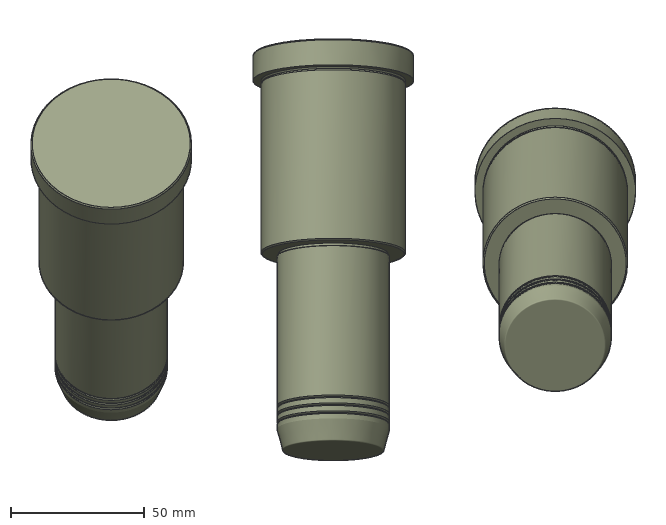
import cadquery as cq
import math

head_radius = 30.0
head_height = 10.0
head_chamfer = 0.5

body_radius = 27.0
body_length = 66.0
body_chamfer = 0.5

shank_radius = 21.0
shank_length = 75.0

neck_width = 1.0
neck_depth = 0.5

groove_depth = 0.5

undercut_width = 1.3

groove_count = 3
groove_width = 1.0
groove_pitch = 3.0
lowest_groove_bottom = 10.0

nose_height = 8.0
nose_angle = 15.0
tip_rounding = 0.5

body_bottom = shank_length
head_bottom = body_bottom + body_length
head_top = head_bottom + head_height


def cylinder(radius, bottom, top):
    return cq.Workplane("XY").workplane(offset=bottom).circle(radius).extrude(top - bottom)


def v_groove_cutter(shaft_radius, depth, bottom, width):
    """Ring with a triangular section that cuts a V-shaped groove into a shaft."""
    return (
        cq.Workplane("XZ")
        .moveTo(shaft_radius, bottom)
        .lineTo(shaft_radius - depth, bottom + width / 2)
        .lineTo(shaft_radius, bottom + width)
        .close()
        .revolve(360, (0, 0, 0), (0, 1, 0))
    )


def make_head():
    return cylinder(head_radius, head_bottom, head_top).faces(">Z").edges().chamfer(head_chamfer)


def make_body():
    body = cylinder(body_radius, body_bottom, head_bottom).faces("<Z").edges().chamfer(body_chamfer)
    return body.cut(v_groove_cutter(body_radius, groove_depth, head_bottom - undercut_width, undercut_width))


def make_nose():
    """Conical nose with a rounded edge at its tip."""
    tip_radius = shank_radius - nose_height * math.tan(math.radians(nose_angle))
    cone = cq.Solid.makeCone(tip_radius, shank_radius, nose_height)
    return cq.Workplane(cone).faces("<Z").edges().fillet(tip_rounding)


def make_shank():
    neck_bottom = body_bottom - neck_width
    shank = cylinder(shank_radius, nose_height, neck_bottom)
    shank = shank.union(cylinder(shank_radius - neck_depth, neck_bottom, body_bottom))
    for index in range(groove_count):
        groove_bottom = lowest_groove_bottom + index * groove_pitch
        shank = shank.cut(v_groove_cutter(shank_radius, groove_depth, groove_bottom, groove_width))
    return shank


result = make_head().union(make_body()).union(make_shank()).union(make_nose())